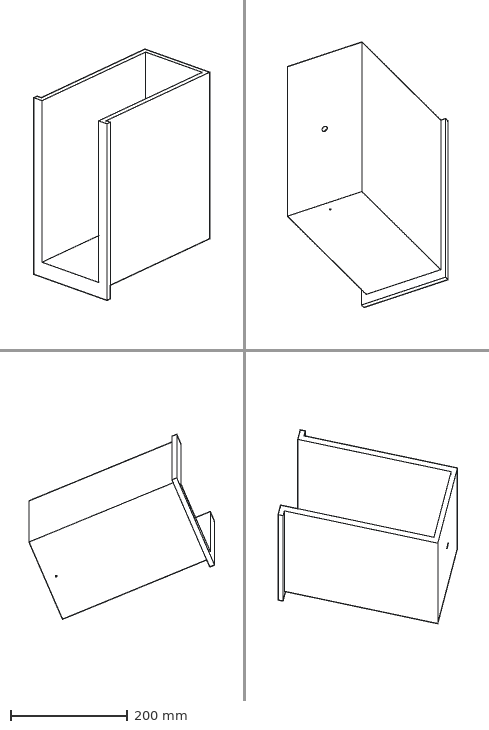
import cadquery as cq

flange_width = 167.0
depth = 280.0
height = 333.0

inner_width = 129.2
wall = (flange_width - inner_width) / 4
body_width = inner_width + 2 * wall
body_bottom = 2 * wall
floor_top = body_bottom + wall
back_wall = 9.0
flange_thickness = back_wall

back_hole_diameter = 10.0
back_hole_height = 176.5
floor_hole_diameter = 2.5
floor_hole_from_back = 19.3


def block(width, y_start, y_end, z_start, z_end):
    """Box centred on X between the given Y and Z limits."""
    return (
        cq.Workplane("XY")
        .box(width, y_end - y_start, z_end - z_start, centered=(True, False, False))
        .translate((0, y_start, z_start))
    )


body = block(body_width, 0, depth, body_bottom, height)
flange = block(flange_width, 0, flange_thickness, 0, height)

cavity = block(inner_width, 0, depth - back_wall, floor_top, height)

back_hole = (
    cq.Workplane("XZ", origin=(0, depth, back_hole_height))
    .circle(back_hole_diameter / 2)
    .extrude(back_wall)
)

floor_hole = (
    cq.Workplane("XY", origin=(0, depth - floor_hole_from_back, body_bottom))
    .circle(floor_hole_diameter / 2)
    .extrude(wall)
)

result = body.union(flange).cut(cavity).cut(back_hole).cut(floor_hole)